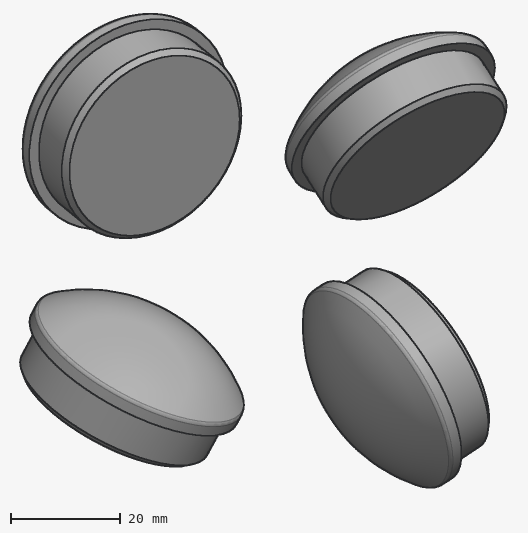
import cadquery as cq

total_length = 20.0
flange_radius = 21.2
dome_height = 8.5
rim_fillet = 1.0
plug_length = 9.0
plug_radius = 19.15
end_chamfer = 1.0

flange_back = total_length - plug_length

dome_radius = (flange_radius**2 + dome_height**2) / (2 * dome_height)
dome_mid_x = dome_height / 4
dome_mid_radius = (dome_radius**2 - (dome_radius - dome_mid_x) ** 2) ** 0.5

profile = (
    cq.Workplane("XY")
    .moveTo(0, 0)
    .threePointArc((dome_mid_x, dome_mid_radius), (dome_height, flange_radius))
    .lineTo(flange_back, flange_radius)
    .lineTo(flange_back, plug_radius)
    .lineTo(total_length, plug_radius)
    .lineTo(total_length, 0)
    .close()
)
body = profile.revolve(360, (0, 0, 0), (1, 0, 0))

rim_edge = cq.selectors.NearestToPointSelector((dome_height, 0, 0))
body = body.edges("%CIRCLE").edges(rim_edge).fillet(rim_fillet)

result = body.faces(">X").edges().chamfer(end_chamfer)